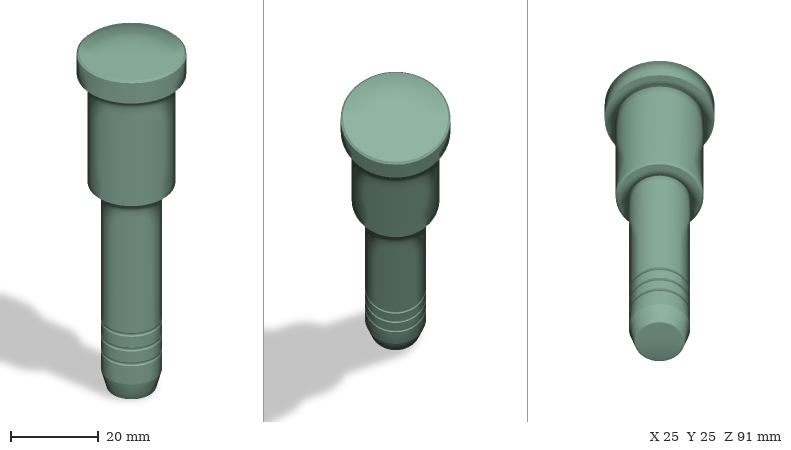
import cadquery as cq
import math

total_length = 91.0
edge_chamfer = 0.5

head_radius = 12.5
head_height = 6.0

body_radius = 10.0
body_length = 30.0

shank_radius = 7.0
neck_depth = 0.5
neck_height = 1.0

tip_height = 5.0
tip_half_angle = 15.0
tip_end_fillet = 0.5

groove_radius = 0.5
shank_groove_count = 3
shank_groove_pitch = 4.0
lowest_groove_center = 10.5

head_bottom = total_length - head_height
body_bottom = head_bottom - body_length


def cylinder(radius, bottom, top):
    """Round section on the Z axis between two levels."""
    return cq.Workplane("XY").workplane(offset=bottom).circle(radius).extrude(top - bottom)


def make_head():
    head = cylinder(head_radius, head_bottom, total_length)
    return head.faces(">Z").chamfer(edge_chamfer)


def make_body():
    body = cylinder(body_radius, body_bottom, head_bottom)
    return body.faces("<Z").chamfer(edge_chamfer)


def make_neck():
    """Relief between the body and the shank."""
    return cylinder(shank_radius - neck_depth, body_bottom - neck_height, body_bottom)


def make_shank():
    return cylinder(shank_radius, tip_height, body_bottom - neck_height)


def make_tip():
    """Cone narrowing downwards, with a rounded end edge."""
    end_radius = shank_radius - tip_height * math.tan(math.radians(tip_half_angle))
    profile = (
        cq.Workplane("XZ")
        .lineTo(end_radius, 0)
        .lineTo(shank_radius, tip_height)
        .lineTo(0, tip_height)
        .close()
    )
    cone = profile.revolve(360, (0, 0, 0), (0, 1, 0))
    return cone.faces("<Z").fillet(tip_end_fillet)


def round_groove(surface_radius, center):
    """Ring that cuts a half-round groove into a round section, centred on one level."""
    profile = cq.Workplane("XZ").moveTo(surface_radius, center).circle(groove_radius)
    return profile.revolve(360, (0, 0, 0), (0, 1, 0))


pin = make_head().union(make_body()).union(make_neck()).union(make_shank()).union(make_tip())

pin = pin.cut(round_groove(body_radius, head_bottom - groove_radius))

for index in range(shank_groove_count):
    groove_center = lowest_groove_center + index * shank_groove_pitch
    pin = pin.cut(round_groove(shank_radius, groove_center))

result = pin